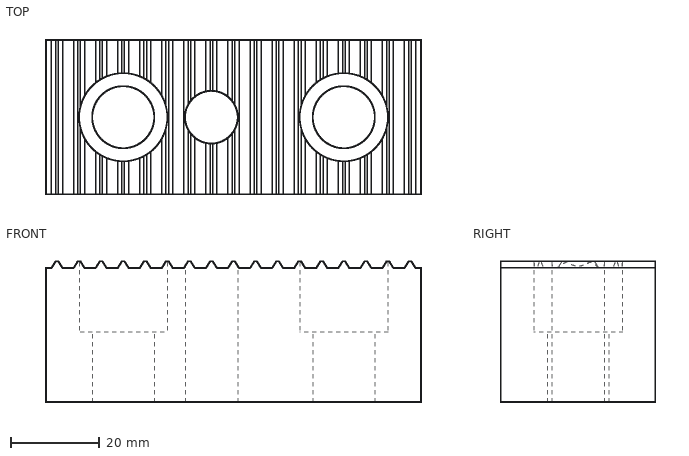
import cadquery as cq

length = 85
width = 35.0
height = 32.0

tooth_count = 17
tooth_pitch = length / tooth_count
tooth_height = 1.5
tooth_tip_width = 0.6
tooth_root_width = tooth_pitch / 2
root_z = height - tooth_height

bolt_spacing = 50.0
bolt_hole_diameter = 14.0
counterbore_diameter = 20.0
counterbore_floor_z = height / 2
plain_hole_diameter = 11.9
plain_hole_offset = 20.0

left_bolt_x = (length - bolt_spacing) / 2
bolt_xs = (left_bolt_x, left_bolt_x + bolt_spacing)
plain_hole_x = left_bolt_x + plain_hole_offset


def serrated_block():
    """Extrude the X-Z outline, teeth included, across the width."""
    tip_half_width = tooth_tip_width / 2
    root_half_width = tooth_root_width / 2
    outline = cq.Workplane("XZ").lineTo(0, root_z)
    for i in range(tooth_count):
        x = (i + 0.5) * tooth_pitch
        outline = (
            outline.lineTo(x - root_half_width, root_z)
            .lineTo(x - tip_half_width, height)
            .lineTo(x + tip_half_width, height)
            .lineTo(x + root_half_width, root_z)
        )
    outline = outline.lineTo(length, root_z).lineTo(length, 0).close()
    return outline.extrude(-width)


def vertical_bore(x, diameter, floor_z=0):
    """Cylinder from floor_z up through the tooth tips."""
    bore = cq.Workplane("XY", origin=(x, width / 2, floor_z))
    return bore.circle(diameter / 2).extrude(height - floor_z)


result = serrated_block().cut(vertical_bore(plain_hole_x, plain_hole_diameter))
for bolt_x in bolt_xs:
    result = result.cut(vertical_bore(bolt_x, bolt_hole_diameter))
    result = result.cut(vertical_bore(bolt_x, counterbore_diameter, counterbore_floor_z))